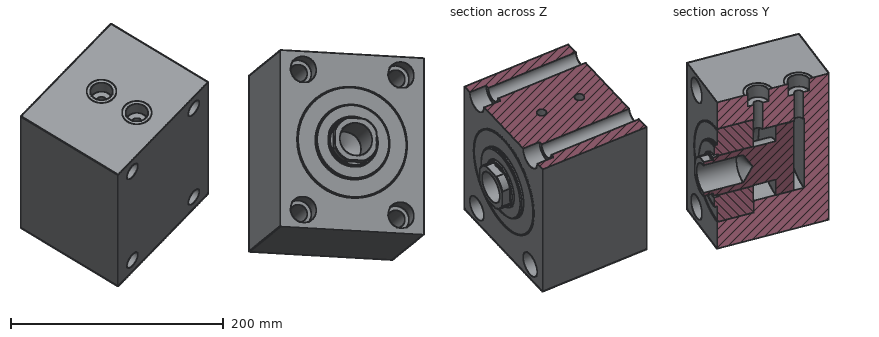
import math

import cadquery as cq

HEIGHT = 170.0
WIDTH = 140.0
LENGTH = 115.1
EDGE_CHAMFER = 0.5

BOLT_SPACING_Y = 95.0
BOLT_SPACING_Z = 135.0
BOLT_DIAMETER = 17.0
BOLT_HEAD_DIAMETER = 25.0
BOLT_HEAD_DEPTH = 18.0

BORE_DIAMETER = 79.9
BORE_END = 89.2
GLAND_DIAMETER = 107.1
GLAND_DEPTH = 37.4
GLAND_CHAMFER = 1.0

PORT_POSITIONS = (42.2, 84.0)
PORT_DIAMETER = 21.0
PORT_DEPTH = 14.0
SPOTFACE_DIAMETER = 27.9
SPOTFACE_DEPTH = 0.2
PASSAGE_DIAMETER = 8.8

BOSS_DIAMETER = 72.0
BOSS_LENGTH = 3.2
BOSS_CHAMFER = 1.2
WIPER_DIAMETER = 48.6
WIPER_DEPTH = 4.2

ROD_DIAMETER = 45.0
ROD_REACH = 14.0
FLATS_LENGTH = 8.8
NECK_LENGTH = 0.7
NECK_DIAMETER = 39.0
FLATS_WIDTH = 40.0
TIP_DIAMETER = 44.0
TIP_CHAMFER = 0.5
ROD_HOLE_DIAMETER = 31.5
ROD_HOLE_DEPTH = 40.8
DRILL_POINT_ANGLE = 118.0

PISTON_START = 60.4
PISTON_END = 79.0


def cylinder(diameter, start, end):
    """Cylinder on the X axis from X = start to X = end."""
    return cq.Workplane("YZ").workplane(offset=start).circle(diameter / 2).extrude(end - start)


def cut_bolt_holes(block):
    """Cut the four mounting holes with their head counterbores in the front face."""
    for y in (-BOLT_SPACING_Y / 2, BOLT_SPACING_Y / 2):
        for z in (-BOLT_SPACING_Z / 2, BOLT_SPACING_Z / 2):
            block = block.cut(cylinder(BOLT_DIAMETER, 0, LENGTH).translate((0, y, z)))
            block = block.cut(cylinder(BOLT_HEAD_DIAMETER, 0, BOLT_HEAD_DEPTH).translate((0, y, z)))
    return block


def cut_ports(block):
    """Cut the spotfaced ports in the top face and their passages down into the bore."""
    top = cq.Workplane("XY").workplane(offset=HEIGHT / 2)
    for x in PORT_POSITIONS:
        port = top.center(x, 0)
        block = block.cut(port.circle(SPOTFACE_DIAMETER / 2).extrude(-SPOTFACE_DEPTH))
        block = block.cut(port.circle(PORT_DIAMETER / 2).extrude(-PORT_DEPTH))
        block = block.cut(port.circle(PASSAGE_DIAMETER / 2).extrude(-HEIGHT / 2))
    return block


def make_housing():
    """Block with its long edges chamfered, the bore, the gland recess, bolt holes and ports."""
    block = cq.Workplane("XY").box(LENGTH, WIDTH, HEIGHT, centered=(False, True, True))
    block = block.edges("|X").chamfer(EDGE_CHAMFER)
    block = block.cut(cylinder(BORE_DIAMETER, 0, BORE_END))
    block = block.cut(cylinder(GLAND_DIAMETER, 0, GLAND_DEPTH))
    return cut_ports(cut_bolt_holes(block))


def make_gland():
    """Gland ring flush with the front face, with a chamfered boss that guides the rod."""
    boss = cylinder(BOSS_DIAMETER, -BOSS_LENGTH, 0).faces("<X").chamfer(BOSS_CHAMFER)
    gland = cylinder(GLAND_DIAMETER, 0, GLAND_DEPTH).faces("<X").chamfer(GLAND_CHAMFER)
    gland = gland.union(boss)
    gland = gland.cut(cylinder(ROD_DIAMETER, -BOSS_LENGTH, GLAND_DEPTH))
    return gland.cut(cylinder(WIPER_DIAMETER, -BOSS_LENGTH, WIPER_DEPTH - BOSS_LENGTH))


def make_rod():
    """Rod with its wrench end, neck, piston and blind hole."""
    flats_end = FLATS_LENGTH - ROD_REACH
    tip = cylinder(TIP_DIAMETER, -ROD_REACH, flats_end).faces("<X").chamfer(TIP_CHAMFER)
    square = cq.Workplane("YZ").workplane(offset=-ROD_REACH).rect(FLATS_WIDTH, FLATS_WIDTH)
    tip = tip.intersect(square.extrude(FLATS_LENGTH))
    neck_end = flats_end + NECK_LENGTH
    rod = tip.union(cylinder(NECK_DIAMETER, flats_end, neck_end))
    rod = rod.union(cylinder(ROD_DIAMETER, neck_end, PISTON_END))
    rod = rod.union(cylinder(BORE_DIAMETER, PISTON_START, PISTON_END))
    hole_end = ROD_HOLE_DEPTH - ROD_REACH
    rod = rod.cut(cylinder(ROD_HOLE_DIAMETER, -ROD_REACH, hole_end))
    drill_radius = ROD_HOLE_DIAMETER / 2
    drill_length = drill_radius / math.tan(math.radians(DRILL_POINT_ANGLE / 2))
    drill_point = cq.Solid.makeCone(
        drill_radius, 0, drill_length, cq.Vector(hole_end, 0, 0), cq.Vector(1, 0, 0)
    )
    return rod.cut(cq.Workplane(drill_point))


housing = make_housing()
gland = make_gland()
piston_rod = make_rod()

result = cq.Compound.makeCompound([housing.val(), gland.val(), piston_rod.val()])